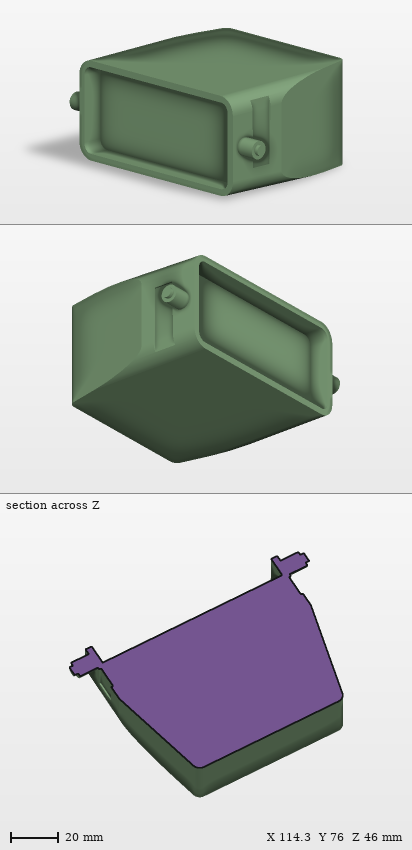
import cadquery as cq

overall_width = 114.3
depth = 76.0
rear_height = 46.0
mouth_height = 43.7
body_width = 93.5
rear_width = 71.3
straight_depth = 28.6
edge_radius = 7.4
rear_corner_radius = 3.7

pocket_width = 87.2
pocket_height = 37.8
pocket_depth = 9.4
pocket_radius = 4.0

pin_setback = 6.7
pin_diameter = 8.0
tip_diameter = 4.7
tip_length = 1.7
pin_embed = 1.1

recess_setback = 16.75
recess_closed_z = 10.6
recess_open_z = -19.0
recess_closed_width = 9.6
recess_open_width = 10.6
recess_closed_depth = 0.7
recess_open_depth = 1.4
recess_clearance = 1.1


def make_body():
    """Drafted block with rounded long edges, narrowed towards the rear."""
    profile = [
        (0, -mouth_height / 2),
        (depth, -rear_height / 2),
        (depth, rear_height / 2),
        (0, mouth_height / 2),
    ]
    block = (
        cq.Workplane("YZ")
        .polyline(profile)
        .close()
        .extrude(body_width / 2, both=True)
    )
    long_edges = block.faces("<X or >X").edges("not(|Z)")
    block = long_edges.fillet(edge_radius)
    plan = [
        (-body_width / 2, 0),
        (body_width / 2, 0),
        (body_width / 2, straight_depth),
        (rear_width / 2, depth),
        (-rear_width / 2, depth),
        (-body_width / 2, straight_depth),
    ]
    envelope = (
        cq.Workplane("XY")
        .polyline(plan)
        .close()
        .extrude(rear_height, both=True)
        .edges("|Z and >Y")
        .fillet(rear_corner_radius)
    )
    return block.intersect(envelope)


def make_pocket():
    return (
        cq.Workplane("XY")
        .box(pocket_width, pocket_depth, pocket_height, centered=(True, False, True))
        .edges("|Y")
        .fillet(pocket_radius)
    )


def make_pin():
    """Stepped pin on the -X side."""
    tip_x = -overall_width / 2
    start_x = -body_width / 2 + pin_embed
    shank_x = tip_x + tip_length
    plane = cq.Workplane("YZ").center(pin_setback, 0)
    tip = plane.workplane(offset=tip_x).circle(tip_diameter / 2).extrude(start_x - tip_x)
    shank = plane.workplane(offset=shank_x).circle(pin_diameter / 2).extrude(start_x - shank_x)
    return shank.union(tip)


def make_recess():
    """Cutter for the -X recess: a flared outline trimmed to a sloping floor."""
    outline = [
        (recess_setback - recess_closed_width / 2, recess_closed_z),
        (recess_setback + recess_closed_width / 2, recess_closed_z),
        (recess_setback + recess_open_width / 2, recess_open_z),
        (recess_setback - recess_open_width / 2, recess_open_z),
    ]
    side_x = -body_width / 2
    outer_x = side_x - recess_clearance
    floor_profile = [
        (outer_x, recess_closed_z),
        (side_x + recess_closed_depth, recess_closed_z),
        (side_x + recess_open_depth, recess_open_z),
        (outer_x, recess_open_z),
    ]
    flare = (
        cq.Workplane("YZ", origin=(outer_x, 0, 0))
        .polyline(outline)
        .close()
        .extrude(recess_clearance + recess_open_depth)
    )
    wedge = cq.Workplane("XZ").polyline(floor_profile).close().extrude(-depth)
    return flare.intersect(wedge)


result = make_body().cut(make_pocket())

for turn in (0, 180):
    result = result.cut(make_recess().rotate((0, 0, 0), (0, 1, 0), turn))
    result = result.union(make_pin().rotate((0, 0, 0), (0, 1, 0), turn))